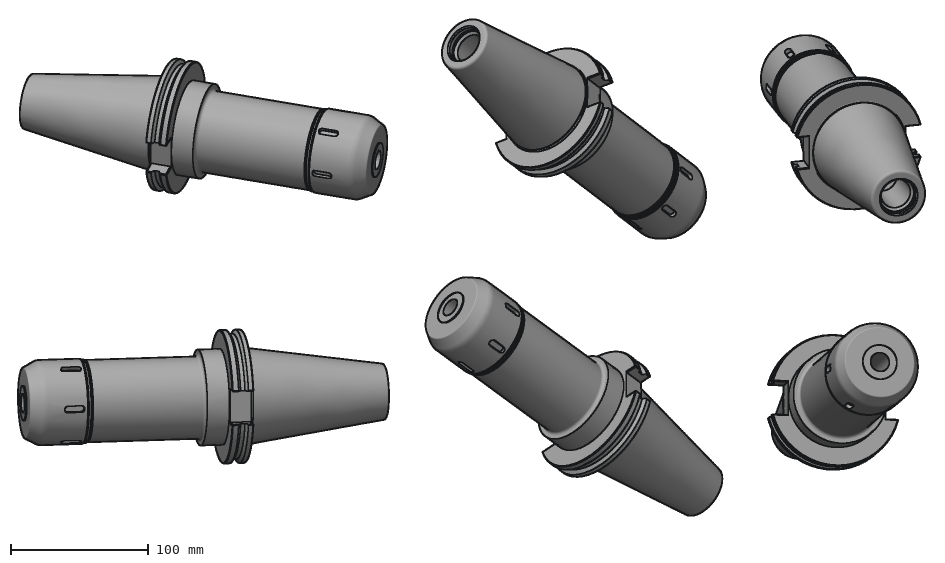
import cadquery as cq
import math


TAPER_RATE = 7 / 48
TAPER_LENGTH = 103.0
TAPER_END_DIA = 70.7
TAPER_START_DIA = TAPER_END_DIA - 2 * TAPER_LENGTH * TAPER_RATE
TAPER_EDGE_FILLET = 2.0

FLANGE_START = 104.8
FLANGE_END = 120.5
FLANGE_DIA = 97.0
FLANGE_CHAMFER = 0.5
FLANGE_ROOT_FILLET = 0.8
GROOVE_CENTER = 112.3
GROOVE_DEPTH = 3.0
GROOVE_FLOOR_WIDTH = 3.2
GROOVE_MOUTH_WIDTH = 7.2
DRIVE_SLOT_WIDTH = 24.3
DRIVE_SLOT_CHAMFER = 0.67
DRIVE_SLOT_FLOOR_PLUS_Y = 37.3
DRIVE_SLOT_FLOOR_MINUS_Y = 35.2

NECK_DIA = 69.9
NECK_END = 136.8
BODY_DIA = 60.0
BODY_FILLET = 2.5
BODY_END = 220.8
BODY_END_CHAMFER = 0.8

THROUGH_BORE_DIA = 13.9
ENTRY_BORE_DIA = 26.7
ENTRY_BORE_DEPTH = 4.3
COUNTERBORE_DIA = 26.0
COUNTERBORE_DEPTH = 5.9
ENTRY_CHAMFER = 1.0
THREAD_BORE_DIA = 22.0
THREAD_BORE_DEPTH = 42.7
DRILL_POINT_ANGLE = 118

NUT_DIA = 62.0
NUT_COLLAR_DIA = 61.0
NUT_COLLAR_CHAMFER = 0.8
NUT_COLLAR_END = 223.2
NUT_BARREL_START = 224.2
NUT_BARREL_END = 253.8
NUT_END = 265.8
NUT_NOSE_ANGLE = 28
NUT_NOSE_RADIUS = 8.5
NUT_EDGE_FILLET = 1.0

SPANNER_SLOT_COUNT = 6
SPANNER_SLOT_LENGTH = 14.7
SPANNER_SLOT_WIDTH = 4.8
SPANNER_SLOT_CENTER = 233.8
SPANNER_SLOT_FLOOR_DIA = 55.5

COLLET_DIA = 25.3
COLLET_END = 266.5


def revolve_about_x(profile):
    """Turn a closed profile of (position, radius) around the X axis."""
    return profile.close().revolve(360, (0, 0, 0), (1, 0, 0))


def bar_along_x(start, end, diameter):
    return cq.Workplane("YZ", origin=(start, 0, 0)).circle(diameter / 2).extrude(end - start)


def arbor_blank():
    flange_r = FLANGE_DIA / 2
    neck_r = NECK_DIA / 2
    body_r = BODY_DIA / 2
    floor_half = GROOVE_FLOOR_WIDTH / 2
    mouth_half = GROOVE_MOUTH_WIDTH / 2
    profile = (
        cq.Workplane("XY")
        .moveTo(0, 0)
        .lineTo(0, TAPER_START_DIA / 2)
        .lineTo(TAPER_LENGTH, TAPER_END_DIA / 2)
        .lineTo(TAPER_LENGTH, neck_r)
        .lineTo(FLANGE_START - FLANGE_ROOT_FILLET, neck_r)
        .tangentArcPoint((FLANGE_ROOT_FILLET, FLANGE_ROOT_FILLET))
        .lineTo(FLANGE_START, flange_r - FLANGE_CHAMFER)
        .lineTo(FLANGE_START + FLANGE_CHAMFER, flange_r)
        .lineTo(GROOVE_CENTER - mouth_half, flange_r)
        .lineTo(GROOVE_CENTER - floor_half, flange_r - GROOVE_DEPTH)
        .lineTo(GROOVE_CENTER + floor_half, flange_r - GROOVE_DEPTH)
        .lineTo(GROOVE_CENTER + mouth_half, flange_r)
        .lineTo(FLANGE_END - FLANGE_CHAMFER, flange_r)
        .lineTo(FLANGE_END, flange_r - FLANGE_CHAMFER)
        .lineTo(FLANGE_END, neck_r)
        .lineTo(NECK_END, neck_r)
        .lineTo(NECK_END, body_r + BODY_FILLET)
        .tangentArcPoint((BODY_FILLET, -BODY_FILLET))
        .lineTo(BODY_END - BODY_END_CHAMFER, body_r)
        .lineTo(BODY_END, body_r - BODY_END_CHAMFER)
        .lineTo(BODY_END, 0)
    )
    return revolve_about_x(profile).faces("<X").edges().fillet(TAPER_EDGE_FILLET)


def arbor_bore():
    through_r = THROUGH_BORE_DIA / 2
    thread_r = THREAD_BORE_DIA / 2
    counterbore_r = COUNTERBORE_DIA / 2
    entry_r = ENTRY_BORE_DIA / 2
    counterbore_cone_end = COUNTERBORE_DEPTH + counterbore_r - thread_r
    drill_point_slope = math.tan(math.radians(DRILL_POINT_ANGLE / 2))
    thread_cone_end = THREAD_BORE_DEPTH + (thread_r - through_r) / drill_point_slope
    profile = (
        cq.Workplane("XY")
        .moveTo(0, 0)
        .lineTo(0, entry_r + ENTRY_CHAMFER)
        .lineTo(ENTRY_CHAMFER, entry_r)
        .lineTo(ENTRY_BORE_DEPTH, entry_r)
        .lineTo(ENTRY_BORE_DEPTH, counterbore_r)
        .lineTo(COUNTERBORE_DEPTH, counterbore_r)
        .lineTo(counterbore_cone_end, thread_r)
        .lineTo(THREAD_BORE_DEPTH, thread_r)
        .lineTo(thread_cone_end, through_r)
        .lineTo(BODY_END, through_r)
        .lineTo(BODY_END, 0)
    )
    return revolve_about_x(profile)


def drive_slot(side, floor):
    """Cutter for the flange slot on the given side of the axis (+1 or -1 along Y)."""
    depth = FLANGE_DIA / 2 - floor
    return cq.Workplane("XY").box(FLANGE_END - FLANGE_START, depth, DRIVE_SLOT_WIDTH).translate(
        ((FLANGE_START + FLANGE_END) / 2, side * (floor + depth / 2), 0)
    )


def break_drive_slot_edges(arbor):
    """Chamfer the slot walls where they meet the flange faces and rims, not the groove or the floor."""
    groove_floor_r = FLANGE_DIA / 2 - GROOVE_DEPTH
    along_slot = arbor.faces("|Z").edges("|X").vals()
    rim_edges = [edge for edge in along_slot if abs(edge.Center().y) > groove_floor_r]
    arbor = arbor.newObject(rim_edges).chamfer(DRIVE_SLOT_CHAMFER)
    return arbor.faces("|Z").edges("|Y").chamfer(DRIVE_SLOT_CHAMFER)


def make_arbor():
    arbor = (
        arbor_blank()
        .cut(arbor_bore())
        .cut(drive_slot(1, DRIVE_SLOT_FLOOR_PLUS_Y))
        .cut(drive_slot(-1, DRIVE_SLOT_FLOOR_MINUS_Y))
    )
    return break_drive_slot_edges(arbor)


def nut_blank():
    barrel_r = NUT_DIA / 2
    collar_r = NUT_COLLAR_DIA / 2
    angle = math.radians(NUT_NOSE_ANGLE)

    def nose_arc_point(turn):
        return (
            NUT_BARREL_END + NUT_NOSE_RADIUS * math.sin(turn),
            barrel_r - NUT_NOSE_RADIUS * (1 - math.cos(turn)),
        )

    cone_start, cone_start_r = nose_arc_point(angle)
    cone_end_r = cone_start_r - (NUT_END - cone_start) * math.tan(angle)
    profile = (
        cq.Workplane("XY")
        .moveTo(BODY_END, 0)
        .lineTo(BODY_END, collar_r - NUT_COLLAR_CHAMFER)
        .lineTo(BODY_END + NUT_COLLAR_CHAMFER, collar_r)
        .lineTo(NUT_COLLAR_END, collar_r)
        .lineTo(NUT_BARREL_START, barrel_r)
        .lineTo(NUT_BARREL_END, barrel_r)
        .threePointArc(nose_arc_point(angle / 2), (cone_start, cone_start_r))
        .lineTo(NUT_END, cone_end_r)
        .lineTo(NUT_END, 0)
    )
    return revolve_about_x(profile).faces(">X").edges().fillet(NUT_EDGE_FILLET)


def spanner_slot(angle):
    """Cutter for one slot, turned about the axis from the -Y direction."""
    return (
        cq.Workplane("XZ", origin=(SPANNER_SLOT_CENTER, -SPANNER_SLOT_FLOOR_DIA / 2, 0))
        .slot2D(SPANNER_SLOT_LENGTH, SPANNER_SLOT_WIDTH)
        .extrude((NUT_DIA - SPANNER_SLOT_FLOOR_DIA) / 2)
        .rotate((0, 0, 0), (1, 0, 0), angle)
    )


def make_nut():
    nut = nut_blank().cut(bar_along_x(BODY_END, NUT_END, COLLET_DIA))
    for index in range(SPANNER_SLOT_COUNT):
        nut = nut.cut(spanner_slot(index * 360 / SPANNER_SLOT_COUNT))
    return nut


def make_collet():
    bore = bar_along_x(BODY_END, COLLET_END, THROUGH_BORE_DIA)
    return bar_along_x(BODY_END, COLLET_END, COLLET_DIA).cut(bore)


arbor = make_arbor()
nut = make_nut()
collet = make_collet()

result = cq.Compound.makeCompound([arbor.val(), nut.val(), collet.val()])